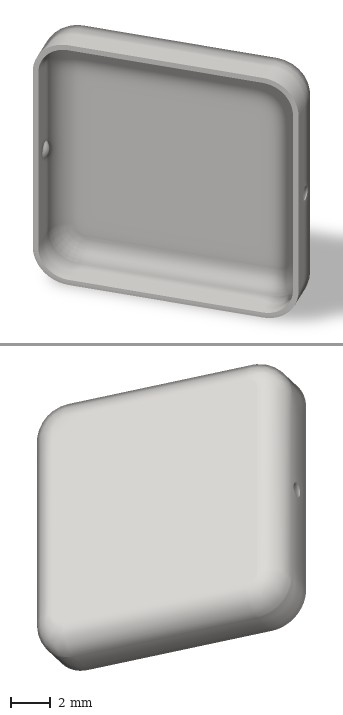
import cadquery as cq
import math

side = 14.1
depth = 3.0
wall = 0.3
corner_radius = 1.89
back_radius = 1.3

detent_from_rim = 1.09
bump_radius = 0.47
bump_height = 0.2
dimple_radius = 0.38
dimple_depth = 0.25

rim_y = -depth / 2
detent_y = rim_y + detent_from_rim


def rounded_block(width, length, vertical_radius, edge_radius):
    """Square block from the rim plane towards +Y with a rounded back edge."""
    return (
        cq.Workplane("XZ", origin=(0, rim_y, 0))
        .rect(width, width)
        .extrude(-length)
        .edges("|Y")
        .fillet(vertical_radius)
        .faces(">Y")
        .edges()
        .fillet(edge_radius)
    )


def spherical_cap(base_x, base_radius, height, direction):
    """Cap with its base circle at base_x, its top pointing along X."""
    sphere_radius = (base_radius**2 + height**2) / (2 * height)
    half_angle = math.asin(base_radius / sphere_radius) / 2
    mid_radius = sphere_radius * math.sin(half_angle)
    mid_height = height - sphere_radius * (1 - math.cos(half_angle))
    return (
        cq.Workplane("XY", origin=(base_x, detent_y, 0))
        .lineTo(0, base_radius)
        .threePointArc((direction * mid_height, mid_radius), (direction * height, 0))
        .close()
        .revolve(360, (0, 0, 0), (1, 0, 0))
    )


outer = rounded_block(side, depth, corner_radius, back_radius)
cavity = rounded_block(side - 2 * wall, depth - wall, corner_radius - wall, back_radius - wall)
result = outer.cut(cavity)

for wall_side in (-1, 1):
    outer_x = wall_side * side / 2
    inner_x = wall_side * (side / 2 - wall)
    result = result.union(spherical_cap(inner_x, bump_radius, bump_height, -wall_side))
    result = result.cut(spherical_cap(outer_x, dimple_radius, dimple_depth, -wall_side))